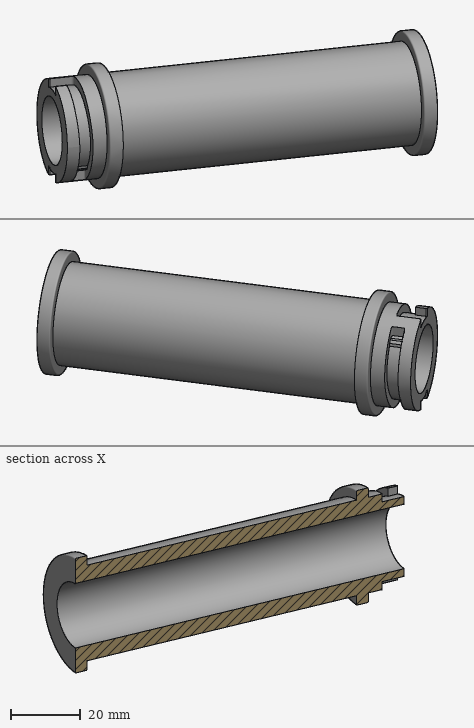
import cadquery as cq
import math

LENGTH = 110.0
TUBE_RADIUS = 30.0 / 2
BORE_RADIUS = 10.0
FLANGE_RADIUS = 36.0 / 2
FLANGE_WIDTH = 4.1
FLANGE_ROUNDING = 0.4
COUPLING_LENGTH = 11.9

CHANNEL_FLOOR_RADIUS = 12.5
CHANNEL_WIDTH = 4.0
CHANNEL_OFFSET = 3.7
RAMP_RISE = 0.3
RAMP_HEIGHT = 8.8
ENTRY_WIDTH = 6.4
LOCK_WALL_OFFSET = 7.2
ENTRY_ROUNDING = 0.8
LOCK_ROUNDING = 0.4
MOUTH_CHAMFER = 0.3

RIDGE_ANGLE = 134.4
RIDGE_BASE_SPAN = 11.0
RIDGE_TOP_SPAN = 4.6
RIDGE_HEIGHT = 0.4

REACH = 2 * TUBE_RADIUS
END_Y = -LENGTH / 2


def cylinder(radius, start_y, length):
    return cq.Workplane("XZ", origin=(0, start_y, 0)).circle(radius).extrude(-length)


def polar(radius, degrees):
    angle = math.radians(degrees)
    return radius * math.cos(angle), radius * math.sin(angle)


def flange(start_y):
    return cylinder(FLANGE_RADIUS, start_y, FLANGE_WIDTH).edges().fillet(FLANGE_ROUNDING)


def channel_floor():
    return cylinder(CHANNEL_FLOOR_RADIUS, END_Y, COUPLING_LENGTH)


def channel_track():
    """Groove around the -X side, level at the entry, then ramping to the locked stretch."""
    locked_low = END_Y + CHANNEL_OFFSET
    locked_high = locked_low + CHANNEL_WIDTH
    band = (
        cq.Workplane("YZ")
        .moveTo(locked_low - RAMP_RISE, -REACH)
        .lineTo(locked_low - RAMP_RISE, -RAMP_HEIGHT)
        .lineTo(locked_low, 0)
        .lineTo(locked_low, REACH)
        .lineTo(locked_high, REACH)
        .lineTo(locked_high, 0)
        .lineTo(locked_high - RAMP_RISE, -RAMP_HEIGHT)
        .lineTo(locked_high - RAMP_RISE, -REACH)
        .close()
        .extrude(-REACH)
    )
    swept_side = (
        cq.Workplane("XZ", origin=(0, END_Y, 0))
        .moveTo(0, -REACH)
        .lineTo(-REACH, -REACH)
        .lineTo(-REACH, REACH)
        .lineTo(-LOCK_WALL_OFFSET, REACH)
        .lineTo(-LOCK_WALL_OFFSET, 0)
        .lineTo(0, 0)
        .close()
        .extrude(-COUPLING_LENGTH)
    )
    track = band.intersect(swept_side).cut(channel_floor())
    lock_edges = cq.selectors.BoxSelector(
        (-LOCK_WALL_OFFSET - LOCK_ROUNDING, END_Y, 0),
        (-LOCK_WALL_OFFSET + LOCK_ROUNDING, END_Y + COUPLING_LENGTH, REACH),
    )
    return track.edges("|Z").edges(lock_edges).fillet(LOCK_ROUNDING)


def channel_entry():
    """Open-ended slot at -Z leading into the track, flared at its mouth."""
    half_width = ENTRY_WIDTH / 2
    mouth_half_width = half_width + MOUTH_CHAMFER
    inner_y = END_Y + CHANNEL_OFFSET + CHANNEL_WIDTH - RAMP_RISE
    chamfer_y = END_Y + MOUTH_CHAMFER
    slot = (
        cq.Workplane("XY")
        .moveTo(-mouth_half_width, END_Y)
        .lineTo(-half_width, chamfer_y)
        .lineTo(-half_width, inner_y)
        .lineTo(half_width, inner_y)
        .lineTo(half_width, chamfer_y)
        .lineTo(mouth_half_width, END_Y)
        .close()
        .extrude(-REACH)
    )
    return slot.faces(">Y").edges("|Z and >X").fillet(ENTRY_ROUNDING)


def detent_ridge():
    top_radius = CHANNEL_FLOOR_RADIUS + RIDGE_HEIGHT
    root_radius = (BORE_RADIUS + CHANNEL_FLOOR_RADIUS) / 2
    half_base = RIDGE_BASE_SPAN / 2
    half_top = RIDGE_TOP_SPAN / 2
    profile = [
        polar(root_radius, RIDGE_ANGLE - half_base),
        polar(CHANNEL_FLOOR_RADIUS, RIDGE_ANGLE - half_base),
        polar(top_radius, RIDGE_ANGLE - half_top),
        polar(top_radius, RIDGE_ANGLE + half_top),
        polar(CHANNEL_FLOOR_RADIUS, RIDGE_ANGLE + half_base),
        polar(root_radius, RIDGE_ANGLE + half_base),
    ]
    return (
        cq.Workplane("XZ", origin=(0, END_Y + CHANNEL_OFFSET, 0))
        .polyline(profile)
        .close()
        .extrude(-CHANNEL_WIDTH)
    )


def channel_cutter():
    entry = channel_entry().cut(channel_floor())
    return channel_track().union(entry).cut(detent_ridge())


near_flange_y = END_Y + COUPLING_LENGTH
far_flange_y = END_Y + LENGTH - FLANGE_WIDTH

result = cylinder(TUBE_RADIUS, END_Y, LENGTH)
for flange_y in (near_flange_y, far_flange_y):
    result = result.union(flange(flange_y))
result = result.cut(cylinder(BORE_RADIUS, END_Y, LENGTH))

cutter = channel_cutter()
for turn in (0, 180):
    result = result.cut(cutter.rotate((0, 0, 0), (0, 1, 0), turn))